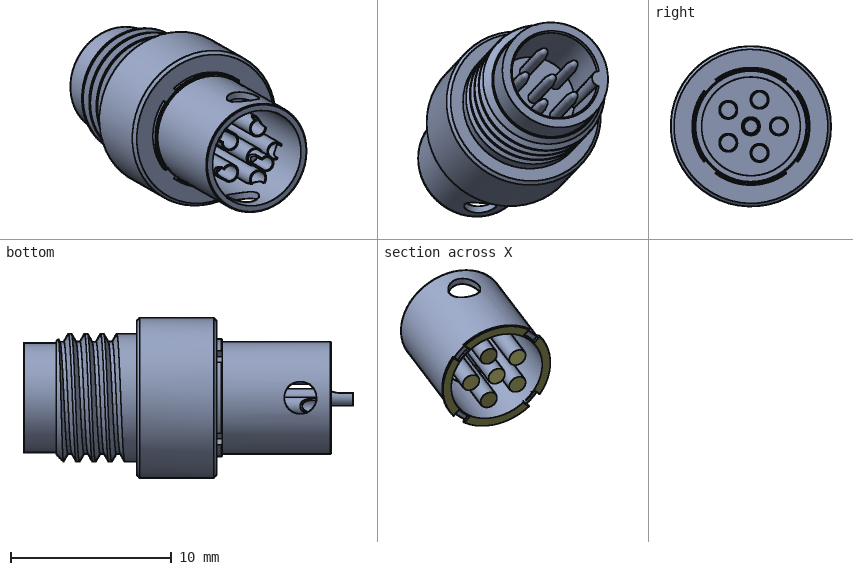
import cadquery as cq
import math


thread_start = 2.0
collar_start = 7.01
collar_end = 12.01
flange_end = 12.36
shell_end = 19.15
overall_length = 20.5

insert_radius = 3.42
socket_radius = 2.77
socket_depth = 5.0
socket_floor_radius = 2.66
mouth_chamfer = 0.1
key_radius = 0.5
key_offset = 2.87

thread_radius = 4.0
thread_root_radius = 3.5
thread_pitch = 1.0
thread_root_width = 0.25
thread_half_angle = 30.0
thread_turns = 5
groove_end = 6.38
thread_lead_in = 0.47
groove_overcut = 0.1
collar_radius = 5.0
collar_chamfer = 0.2

shell_radius = 3.5
shell_bore_radius = 3.08
shell_edge_chamfer = 0.06
flange_radius = 3.67
flange_chamfer = 0.06
slot_width = 1.0
slot_floor_radius = 3.15
slot_count = 4
cross_hole_center = 17.22
cross_hole_diameter = 2.0

pin_radius = 0.35
pin_front = 0.45
pin_tip_radius = 0.25
pin_taper_end = 1.48
shank_radius = 0.57
outer_pin_count = 5
pin_circle_radius = 1.75
outer_pin_end = 18.25
center_shank_end = 18.85
center_cup_diameter = 1.0
center_cup_radius = center_cup_diameter / 2
cup_wall = 0.08
cup_depth = 2.05
cup_lip_offset = 0.3
center_cup_flat_length = 0.82
outer_cup_flat_length = 0.2
cup_runout_radius = 1.44
outer_cup_twist = -20.0

axis_start = cq.Vector(0, 0, 0)
axis_direction = cq.Vector(1, 0, 0)


def rod(radius, start, end):
    """Cylinder about the X axis between two stations."""
    return cq.Workplane("YZ").workplane(offset=start).circle(radius).extrude(end - start)


def cone(start_radius, end_radius, start, end):
    """Truncated cone about the X axis between two stations."""
    origin = cq.Vector(start, 0, 0)
    return cq.Workplane(cq.Solid.makeCone(start_radius, end_radius, end - start, origin, axis_direction))


def pin_positions():
    """Y, Z and polar angle (from +Y) of each outer pin."""
    step = 360.0 / outer_pin_count
    places = []
    for index in range(outer_pin_count):
        angle = index * step
        y = pin_circle_radius * math.cos(math.radians(angle))
        z = pin_circle_radius * math.sin(math.radians(angle))
        places.append((y, z, angle))
    return places


def make_insert():
    """Keyed, slightly drafted socket with a through hole for every pin."""
    socket = cone(socket_radius, socket_floor_radius, 0, socket_depth)
    mouth = cone(socket_radius + mouth_chamfer, socket_radius, 0, mouth_chamfer)
    key = rod(key_radius, 0, socket_depth).translate((0, -key_offset, 0))
    body = rod(insert_radius, 0, collar_end).cut(socket).cut(mouth)
    body = body.union(key.intersect(rod(insert_radius, 0, socket_depth)))
    pin_hole = rod(pin_radius, socket_depth, collar_end)
    body = body.cut(pin_hole)
    for y, z, _ in pin_positions():
        body = body.cut(pin_hole.translate((0, y, z)))
    return body


def thread_groove():
    """Right-hand helical groove that stops abruptly on the -Y side."""
    groove_start = groove_end - thread_turns * thread_pitch
    root_half = thread_root_width / 2
    slope = math.tan(math.radians(thread_half_angle))
    outer_radius = thread_radius + groove_overcut
    outer_half = root_half + (outer_radius - thread_root_radius) * slope
    helix = cq.Wire.makeHelix(
        thread_pitch, thread_turns * thread_pitch, thread_root_radius,
        cq.Vector(groove_start, 0, 0), axis_direction,
    )
    helix_start = helix.startPoint()
    start_angle = math.degrees(math.atan2(helix_start.z, helix_start.y))
    helix = helix.rotate(axis_start, axis_direction, 180.0 - start_angle)
    profile = (
        cq.Workplane("XY")
        .polyline(
            [
                (groove_start - root_half, -thread_root_radius),
                (groove_start + root_half, -thread_root_radius),
                (groove_start + outer_half, -outer_radius),
                (groove_start - outer_half, -outer_radius),
            ]
        )
        .close()
    )
    return profile.sweep(cq.Workplane(helix), isFrenet=True)


def make_housing():
    """Threaded sleeve and chamfered collar bored to fit the insert."""
    sleeve = rod(thread_radius, thread_start, collar_start)
    sleeve = sleeve.faces("<X").chamfer(thread_lead_in)
    sleeve = sleeve.cut(thread_groove())
    collar = rod(collar_radius, collar_start, collar_end)
    collar = collar.faces("<X or >X").chamfer(collar_chamfer)
    return sleeve.union(collar).cut(rod(insert_radius, thread_start, collar_end))


def flange_slots():
    """Radial slots through the flange, midway between the Y and Z directions."""
    length = flange_end - collar_end
    slots = cq.Workplane("YZ")
    for index in range(slot_count):
        angle = (index + 0.5) * 360.0 / slot_count
        slot = (
            cq.Workplane("XY")
            .box(length, flange_radius, slot_width, centered=(False, False, True))
            .translate((collar_end, 0, 0))
            .rotate((0, 0, 0), (1, 0, 0), angle)
        )
        slots = slots.add(slot)
    return slots.combine().cut(rod(slot_floor_radius, collar_end, flange_end))


def make_rear_shell():
    """Open tube with a slotted flange and a hole across it along Z."""
    flange = rod(flange_radius, collar_end, flange_end).faces(">X").chamfer(flange_chamfer)
    flange = flange.cut(flange_slots())
    tube = rod(shell_radius, flange_end, shell_end).faces(">X").chamfer(shell_edge_chamfer)
    cross_hole = (
        cq.Workplane("XY")
        .center(cross_hole_center, 0)
        .circle(cross_hole_diameter / 2)
        .extrude(shell_radius, both=True)
    )
    shell = flange.union(tube).cut(rod(shell_bore_radius, collar_end, shell_end))
    return shell.cut(cross_hole)


def solder_cup_cut(end, cup_radius, flat_length):
    """Blind bore plus a window open toward +Y that runs out along an arc."""
    bore = rod(cup_radius - cup_wall, end - cup_depth, end)
    flat_start = end - flat_length
    clear = 2 * shank_radius
    runout_angle = math.acos(1 - (clear - cup_lip_offset) / cup_runout_radius)
    mid_angle = runout_angle / 2
    arc_mid = (
        flat_start - cup_runout_radius * math.sin(mid_angle),
        cup_lip_offset + cup_runout_radius * (1 - math.cos(mid_angle)),
    )
    arc_end = (flat_start - cup_runout_radius * math.sin(runout_angle), clear)
    window = (
        cq.Workplane("XY")
        .moveTo(end, cup_lip_offset)
        .lineTo(flat_start, cup_lip_offset)
        .threePointArc(arc_mid, arc_end)
        .lineTo(end, clear)
        .close()
        .extrude(shank_radius, both=True)
    )
    return bore.union(window)


def pin_front_part():
    """Round-nosed tapered tip and the plain length held in the insert."""
    dome_end = pin_front + pin_tip_radius
    arc_offset = pin_tip_radius * math.cos(math.radians(45))
    return (
        cq.Workplane("XY")
        .moveTo(pin_front, 0)
        .threePointArc((dome_end - arc_offset, arc_offset), (dome_end, pin_tip_radius))
        .lineTo(pin_taper_end, pin_radius)
        .lineTo(collar_end, pin_radius)
        .lineTo(collar_end, 0)
        .close()
        .revolve(360, (0, 0), (1, 0))
    )


def make_center_pin():
    """Long pin whose narrower solder cup opens toward -Y."""
    pin = pin_front_part().union(rod(shank_radius, collar_end, center_shank_end))
    pin = pin.union(rod(center_cup_radius, center_shank_end, overall_length))
    cup = solder_cup_cut(overall_length, center_cup_radius, center_cup_flat_length)
    return pin.cut(cup.rotate((0, 0, 0), (1, 0, 0), 180))


def make_outer_pin(y, z, angle):
    """Short pin on the pin circle at the given polar angle."""
    pin = pin_front_part().union(rod(shank_radius, collar_end, outer_pin_end))
    pin = pin.cut(solder_cup_cut(outer_pin_end, shank_radius, outer_cup_flat_length))
    pin = pin.rotate((0, 0, 0), (1, 0, 0), angle + outer_cup_twist)
    return pin.translate((0, y, z))


insert = make_insert()
housing = make_housing()
rear_shell = make_rear_shell()
center_pin = make_center_pin()
outer_pins = [make_outer_pin(y, z, angle) for y, z, angle in pin_positions()]

result = cq.Compound.makeCompound(
    [
        *insert.solids().vals(),
        *housing.solids().vals(),
        *rear_shell.solids().vals(),
        *center_pin.solids().vals(),
        *[pin.solids().val() for pin in outer_pins],
    ]
)